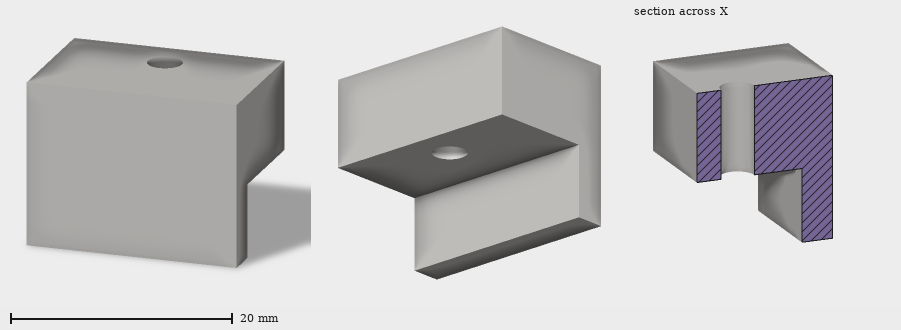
import cadquery as cq

width = 20.0
depth = 13.3
height = 15.5

block_height = 8.5
lip_thickness = 3.0

hole_diameter = 3.25
hole_to_back = 4.0


def make_body():
    """Upper block and front lip, with the front lower edge on the X axis."""
    block = cq.Workplane("XY").box(width, depth, block_height, centered=(True, False, False))
    block = block.translate((0, 0, height - block_height))
    lip = cq.Workplane("XY").box(width, lip_thickness, height, centered=(True, False, False))
    return block.union(lip)


def make_hole():
    """Cylinder that passes through the block behind the lip."""
    return (
        cq.Workplane("XY")
        .center(0, depth - hole_to_back)
        .circle(hole_diameter / 2)
        .extrude(height)
    )


result = make_body().cut(make_hole())